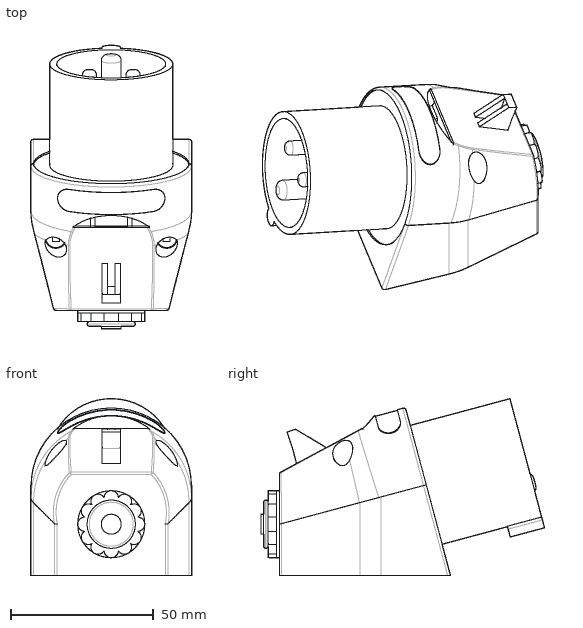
import cadquery as cq
import math

tilt = 15.0
axis_height = 18.0
edge_round = 1.0

base_width = 56.5
flange_pos = 53.3
base_taper = 15.0
base_end_half_width = 19.7
bend_radius = 28.0

shell_radius = 28.1
shell_bend_pos = 32.5
hood_end_height = 24.1

cover_angle = 28.2
cover_end_height = 36.0
notch_start = 33.0
notch_half_width = 13.4
notch_length = 5.8
notch_floor_height = 42.0
notch_reach = 50.0
cover_thickness = 1.0
cover_overhang = 5.0
channel_top_width = 14.4
channel_floor_width = 11.4
channel_depth = 1.5

grip_length = 37.6
grip_width = 8.0
grip_pos = 46.3
grip_depth = 0.2

screw_x = 19.4
screw_pos = 28.1
screw_hole_diameter = 7.5
screw_floor = 6.6
screw_head_diameter = 7.0
screw_head_height = 0.3
screw_socket_width = 2.5

tube_diameter = 43.2
tube_bore = 38.2
tube_end = 89.44
face_recess_diameter = 54.4
face_recess_depth = 0.6
tube_root = 0.6
key_width = 6.5
key_length = 12.5
key_reach = 25.3
key_round = 2.9
pin_circle_radius = 8.83
earth_pin_diameter = 7.0
earth_pin_end = 90.3
earth_pin_round = 2.0
live_pin_diameter = 5.0
live_pin_end = 88.4
live_pin_round = 1.8
live_pin_angles = (120, -120)
pin_root = 1.0

nut_diameter = 23.5
nut_flange_thickness = 0.9
nut_thickness = 3.9
petal_diameter = 5.0
petal_count = 12
ring_diameter = 16.9
ring_thickness = 1.6
ring_round = 0.75
cable_end_diameter = 7.0
cable_end_reach = 6.45

latch_width = 6.45
latch_slot_width = 2.7
latch_slot_end = 8.5
latch_heel_y = 16.5
latch_peak = (5.7, 51.3)
latch_tip = (2.7, 50.3)
latch_knee = (4.6, 44.6)
latch_foot_y = 6.0
latch_root = 1.0

axis_cos, axis_sin = math.cos(math.radians(tilt)), math.sin(math.radians(tilt))
axis_dir = cq.Vector(0, axis_cos, axis_sin)
up_dir = cq.Vector(0, -axis_sin, axis_cos)
axis_origin = cq.Vector(0, 0, axis_height)
facing_plug = cq.selectors.DirectionMinMaxSelector(axis_dir, True)
big = 200.0


def across_axis(along):
    """Plane square to the plug axis; local y points up, away from the base."""
    return cq.Workplane(cq.Plane(axis_origin + axis_dir * along, (-1, 0, 0), axis_dir))


def split_plane(height=0.0):
    """Plane parallel to the split plane; local y runs along the plug axis."""
    return cq.Workplane(cq.Plane(axis_origin + up_dir * height, (1, 0, 0), up_dir))


def cover_plane():
    """Plane of the flat cover; local y runs up the slope from the gland face."""
    angle = math.radians(cover_angle)
    normal = (0, -math.sin(angle), math.cos(angle))
    return cq.Workplane(cq.Plane((0, 0, cover_end_height), (1, 0, 0), normal))


def cover_height(y):
    """Height of the cover plane at the given Y."""
    return cover_end_height + y * math.tan(math.radians(cover_angle))


def side_profile(points, width):
    """Extrude a (Y, Z) outline symmetrically about X = 0."""
    return cq.Workplane("YZ").polyline(points).close().extrude(width / 2, both=True)


def base():
    """Lower housing: tapered prism under the split plane, ending at the tilted flange face."""
    half = base_width / 2
    taper = math.tan(math.radians(base_taper))
    bend_y = (half - base_end_half_width) / taper
    back_y = (flange_pos + axis_height * axis_sin) / axis_cos
    plan = [(-base_end_half_width, 0), (base_end_half_width, 0), (half, bend_y), (half, back_y),
            (-half, back_y), (-half, bend_y)]
    body = cq.Workplane("XY").polyline(plan).close().extrude(axis_height * 2)
    for side in (-1, 1):
        bend = cq.selectors.NearestToPointSelector((side * half, bend_y, axis_height))
        body = body.edges(bend).fillet(bend_radius)
    body = body.cut(across_axis(flange_pos).rect(big, big).extrude(big))
    body = body.cut(split_plane().rect(big, big).extrude(big))
    body = body.faces("<Y").edges("|Z").fillet(edge_round)
    return body.faces(facing_plug).edges("not |X").fillet(edge_round)


def shell():
    """Upper housing: half cylinder about the plug axis, tapering to a hood at the gland face."""
    back = (across_axis(shell_bend_pos).moveTo(shell_radius, 0)
            .threePointArc((0, shell_radius), (-shell_radius, 0)).close())
    end_plane = cq.Plane((0, 0, axis_height), (-1, 0, 0), (0, 1, 0))
    end = (cq.Workplane(end_plane).moveTo(base_end_half_width, 0)
           .threePointArc((0, hood_end_height), (-base_end_half_width, 0)).close())
    hood = cq.Workplane(cq.Solid.makeLoft([end.wires().val(), back.wires().val()], True))
    cylinder = across_axis(shell_bend_pos).circle(shell_radius).extrude(flange_pos - shell_bend_pos)
    cylinder = cylinder.faces(facing_plug).edges().fillet(edge_round)
    cylinder = cylinder.cut(split_plane().rect(big, big).extrude(-big))
    body = hood.union(cylinder)
    bend_top = axis_origin + axis_dir * shell_bend_pos + up_dir * shell_radius
    return body.edges(cq.selectors.NearestToPointSelector(bend_top.toTuple())).fillet(bend_radius)


def cut_cover(body):
    """Slice the hood flat along the sloping cover and round the edges of the flat."""
    over_cover = cover_plane().center(0, notch_start - big / 2).rect(big, big).extrude(big)
    body = body.cut(over_cover)
    flat_center = cover_plane().plane.toWorldCoords((0, notch_start / 2, 0))
    flat = body.faces(cq.selectors.NearestToPointSelector(flat_center.toTuple()))
    rim = flat.edges("not >Y").add(body.faces("<Y").edges("not <Z"))
    return rim.fillet(edge_round)


def notch():
    """Hollow behind the upper edge of the cover, with a channel along its level floor."""
    opening = (cover_plane().moveTo(-notch_half_width, notch_start)
               .threePointArc((0, notch_start + notch_length), (notch_half_width, notch_start)).close()
               .extrude(notch_reach, both=True))
    under_cover = (cover_plane().workplane(offset=-cover_thickness)
                   .center(0, notch_start - cover_overhang / 2)
                   .rect(2 * notch_half_width, cover_overhang).extrude(-notch_reach))
    hollow = opening.union(under_cover)
    above_floor = cq.Workplane("XY", origin=(0, 0, notch_floor_height)).rect(big, big).extrude(big)
    top, bottom = channel_top_width / 2, channel_floor_width / 2
    channel = (cq.Workplane("XZ", origin=(0, 0, notch_floor_height))
               .polyline([(-top, 0), (top, 0), (bottom, -channel_depth), (-bottom, -channel_depth)]).close()
               .extrude(-big))
    return hollow.intersect(above_floor.union(channel))


def screw_well(side):
    """Round well square to the plug axis, going straight down to its floor."""
    center = (side * screw_x, screw_pos)
    return split_plane(screw_floor).center(*center).circle(screw_hole_diameter / 2).extrude(big)


def screw_head(side):
    """Low screw head with a square socket as deep as the head."""
    plane = split_plane(screw_floor).center(side * screw_x, screw_pos)
    head = plane.circle(screw_head_diameter / 2).extrude(screw_head_height)
    return head.cut(plane.rect(screw_socket_width, screw_socket_width).extrude(screw_head_height))


def grip_band():
    """Shallow slot-shaped recess curved around the top of the cylinder."""
    slot = split_plane().center(0, grip_pos).slot2D(grip_length, grip_width).extrude(big)
    core = across_axis(0).circle(shell_radius - grip_depth).extrude(big)
    return slot.cut(core)


def face_recess():
    """Shallow round recess in the flange face around the sleeve."""
    return across_axis(flange_pos).circle(face_recess_diameter / 2).extrude(-face_recess_depth)


def tube():
    """Plug sleeve closed at the flange, with its locating key underneath."""
    start = flange_pos - face_recess_depth - tube_root
    sleeve = across_axis(start).circle(tube_diameter / 2).extrude(tube_end - start)
    key = across_axis(tube_end - key_length).center(0, -key_reach / 2).rect(key_width, key_reach)
    key = key.extrude(key_length)
    underside = key.faces(cq.selectors.DirectionMinMaxSelector(up_dir, False))
    sleeve = sleeve.union(underside.edges("not |X").fillet(key_round))
    return sleeve.cut(across_axis(flange_pos).circle(tube_bore / 2).extrude(big))


def pin(angle, diameter, end, tip_round):
    """Round-tipped contact pin; the angle is measured from straight down."""
    x = pin_circle_radius * math.sin(math.radians(angle))
    y = -pin_circle_radius * math.cos(math.radians(angle))
    body = across_axis(flange_pos - pin_root).center(x, y).circle(diameter / 2)
    body = body.extrude(end - flange_pos + pin_root)
    return body.faces(facing_plug).edges().fillet(tip_round)


def gland_disc(diameter, start, thickness):
    """Disc on the gland axis, growing outward from the given distance off the gland face."""
    return cq.Workplane("XZ", origin=(0, -start, axis_height)).circle(diameter / 2).extrude(thickness)


def gland():
    """Cable gland: flange, petal-edged nut, rounded ring and cable end."""
    body = gland_disc(nut_diameter, 0, nut_flange_thickness)
    pitch_radius = (nut_diameter - petal_diameter) / 2
    body = body.union(gland_disc(2 * pitch_radius, 0, nut_thickness))
    for index in range(petal_count):
        angle = 2 * math.pi * index / petal_count
        shift = (pitch_radius * math.cos(angle), 0, pitch_radius * math.sin(angle))
        body = body.union(gland_disc(petal_diameter, 0, nut_thickness).translate(shift))
    ring = gland_disc(ring_diameter, nut_thickness, ring_thickness).edges().fillet(ring_round)
    cable_end = gland_disc(cable_end_diameter, 0, cable_end_reach)
    return body.union(ring).union(cable_end)


def latch():
    """Hook on the cover: two side ribs joined by a solid nose."""
    heel = (latch_heel_y, cover_height(latch_heel_y))
    foot = (latch_foot_y, cover_height(latch_foot_y))
    buried_foot = (foot[0], foot[1] - latch_root)
    buried_heel = (heel[0], heel[1] - latch_root)
    outline = [heel, latch_peak, latch_tip, latch_knee, foot, buried_foot, buried_heel]
    slot_bottom = (latch_slot_end, cover_height(latch_slot_end))
    slot_outline = [heel, slot_bottom, latch_peak, (latch_heel_y, latch_peak[1])]
    return side_profile(outline, latch_width).cut(side_profile(slot_outline, latch_slot_width))


body = base().union(cut_cover(shell()))
body = body.cut(notch()).cut(grip_band()).cut(face_recess())
for side in (-1, 1):
    body = body.cut(screw_well(side)).union(screw_head(side))
body = body.union(tube())
body = body.union(pin(0, earth_pin_diameter, earth_pin_end, earth_pin_round))
for angle in live_pin_angles:
    body = body.union(pin(angle, live_pin_diameter, live_pin_end, live_pin_round))
result = body.union(gland()).union(latch())